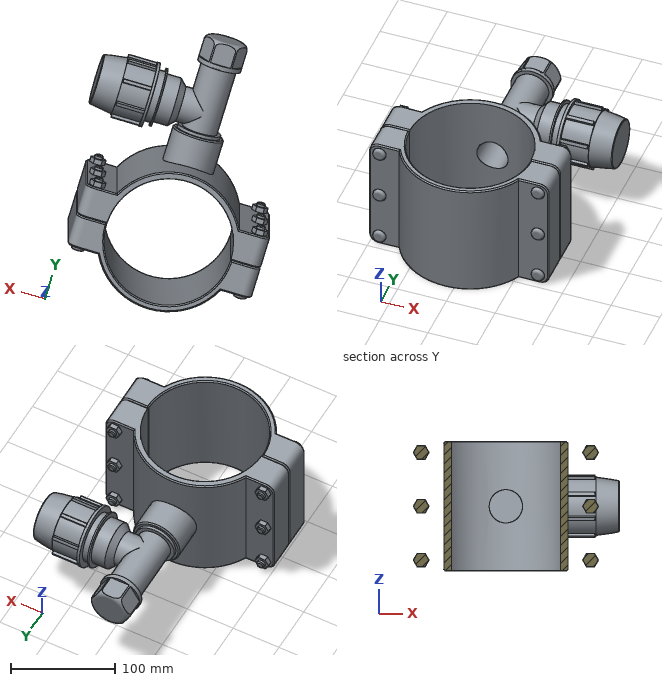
import cadquery as cq
import math

HEIGHT = 124.0
BORE_RADIUS = 62.0
BARREL_RADIUS = 68.6
FLANGE_HALF_WIDTH = 92.0
FLANGE_THICKNESS = 31.0
FLANGE_CORNER_RADIUS = 9.7
EDGE_CHAMFER = 1.3
BORE_CHAMFER = 1.3

BOLT_X = 81.2
BOLT_PITCH = 51.5
BOLT_DIAMETER = 8.0
BOLT_TIP_Y = FLANGE_THICKNESS + 8.5
BOLT_TIP_CHAMFER = 1.0
HEAD_DIAMETER = 13.0
HEAD_HEIGHT = 3.7
HEAD_FLAT_DIAMETER = 7.9
HEAD_SHOULDER_DIAMETER = 12.0
HEAD_SHOULDER_HEIGHT = 2.5
NUT_ACROSS_FLATS = 13.0
NUT_HEIGHT = 5.0

TOP_Y = 193.4
BOSS_DIAMETER = 50.5
BOSS_TOP_Y = 98.5
BOSS_CHAMFER = 1.3
COLLAR_DIAMETER = 43.0
LOWER_COLLAR_TOP_Y = 101.7
PIPE_DIAMETER = 35.0
UPPER_COLLAR_Y = 167.0
CAP_Y = 171.3
CAP_ACROSS_FLATS = 38.0
CAP_TOP_DIAMETER = 32.0
PORT_DIAMETER = 32.0

BRANCH_Y = 120.5
BRANCH_END_X = 109.0
NECK_END_X = 24.5
SOCKET_X = 31.2
SOCKET_DIAMETER = 48.0
STOP_X = 45.8
STOP_END_X = 47.5
STOP_DIAMETER = 57.6
SLEEVE_DIAMETER = 51.0
NUT_RIM_X = 54.5
NUT_RIM_END_X = 57.5
NUT_RIM_DIAMETER = 64.0
NUT_BODY_END_X = 86.2
NUT_BODY_DIAMETER = 57.6
TAPER_START_DIAMETER = 56.0
TAPER_MIDDLE_DIAMETER = 53.2
TAPER_END_DIAMETER = 49.3
TAPER_END_CHAMFER = 0.8

RIB_COUNT = 8
RIB_WIDTH = 3.5
RIB_OUTER_RADIUS = 31.7
RIB_INNER_RADIUS = 26.2
RIB_END_X = 85.5


def clamp_half(side):
    """Half shell on the +Y (side = 1) or -Y (side = -1) side of the split plane."""
    outer_face, split_face = (">Y", "<Y") if side > 0 else ("<Y", ">Y")
    flange = (
        cq.Workplane("XY")
        .box(2 * FLANGE_HALF_WIDTH, FLANGE_THICKNESS, HEIGHT)
        .translate((0, side * FLANGE_THICKNESS / 2, 0))
        .edges("|Y").fillet(FLANGE_CORNER_RADIUS)
        .faces(outer_face).edges().chamfer(EDGE_CHAMFER)
    )
    half_space = cq.Workplane("XY").box(2 * BARREL_RADIUS, 2 * BARREL_RADIUS, HEIGHT)
    half_barrel = (
        cq.Workplane("XY")
        .circle(BARREL_RADIUS).extrude(HEIGHT / 2, both=True)
        .edges("%CIRCLE").chamfer(EDGE_CHAMFER)
        .intersect(half_space.translate((0, side * BARREL_RADIUS, 0)))
    )
    return flange.union(half_barrel).clean().faces(split_face).edges().chamfer(EDGE_CHAMFER)


def clamp_bore():
    return cq.Workplane("XY").circle(BORE_RADIUS).extrude(HEIGHT / 2, both=True)


def bore_lead_in():
    """Cutter that bevels all edges of the bore in the -Y half shell only."""
    rim_radius = BORE_RADIUS + BORE_CHAMFER
    cutter = (
        cq.Workplane("XY")
        .polyline([
            (-rim_radius, 0),
            (-BORE_RADIUS, -BORE_CHAMFER),
            (BORE_RADIUS, -BORE_CHAMFER),
            (rim_radius, 0),
        ])
        .close()
        .extrude(HEIGHT / 2, both=True)
    )
    for end in (1, -1):
        cone = cq.Solid.makeCone(
            rim_radius, BORE_RADIUS, BORE_CHAMFER,
            cq.Vector(0, 0, end * HEIGHT / 2), cq.Vector(0, 0, -end),
        )
        cutter = cutter.union(cq.Workplane(cone))
    half_space = cq.Workplane("XY").box(2 * rim_radius, rim_radius, HEIGHT)
    return cutter.intersect(half_space.translate((0, -rim_radius / 2, 0)))


def rod_along_y(diameter, start_y, end_y):
    return (
        cq.Workplane("XZ", origin=(0, start_y, 0))
        .circle(diameter / 2).extrude(start_y - end_y)
    )


def hexagon_along_y(across_flats, start_y, end_y):
    """Hexagonal prism with two corners pointing along X."""
    across_corners = across_flats / math.cos(math.pi / 6)
    return (
        cq.Workplane("XZ", origin=(0, start_y, 0))
        .polygon(6, across_corners).extrude(start_y - end_y)
    )


def bolt():
    head = (
        cq.Workplane("XY", origin=(0, -FLANGE_THICKNESS, 0))
        .lineTo(HEAD_DIAMETER / 2, 0)
        .threePointArc(
            (HEAD_SHOULDER_DIAMETER / 2, -HEAD_SHOULDER_HEIGHT),
            (HEAD_FLAT_DIAMETER / 2, -HEAD_HEIGHT),
        )
        .lineTo(0, -HEAD_HEIGHT)
        .close()
        .revolve(360, (0, 0, 0), (0, 1, 0))
    )
    shank = (
        rod_along_y(BOLT_DIAMETER, -FLANGE_THICKNESS, BOLT_TIP_Y)
        .faces(">Y").edges().chamfer(BOLT_TIP_CHAMFER)
    )
    nut = hexagon_along_y(NUT_ACROSS_FLATS, FLANGE_THICKNESS, FLANGE_THICKNESS + NUT_HEIGHT)
    return head.union(shank).union(nut)


def riser():
    boss = (
        rod_along_y(BOSS_DIAMETER, 0, BOSS_TOP_Y)
        .faces(">Y").edges().chamfer(BOSS_CHAMFER)
    )
    lower_collar = rod_along_y(COLLAR_DIAMETER, BOSS_TOP_Y, LOWER_COLLAR_TOP_Y)
    pipe = rod_along_y(PIPE_DIAMETER, BOSS_TOP_Y, UPPER_COLLAR_Y)
    upper_collar = rod_along_y(COLLAR_DIAMETER, UPPER_COLLAR_Y, CAP_Y)
    cap_envelope = (
        rod_along_y(COLLAR_DIAMETER, CAP_Y, TOP_Y)
        .faces(">Y").edges().fillet((COLLAR_DIAMETER - CAP_TOP_DIAMETER) / 2)
    )
    cap = hexagon_along_y(CAP_ACROSS_FLATS, CAP_Y, TOP_Y).intersect(cap_envelope)
    return boss.union(lower_collar).union(pipe).union(upper_collar).union(cap)


def branch():
    """Turned body of the branch, revolved about its axis along X."""
    taper_middle_x = (NUT_BODY_END_X + BRANCH_END_X) / 2
    return (
        cq.Workplane("XY", origin=(0, BRANCH_Y, 0))
        .lineTo(0, PIPE_DIAMETER / 2)
        .lineTo(NECK_END_X, PIPE_DIAMETER / 2)
        .lineTo(SOCKET_X, SOCKET_DIAMETER / 2)
        .lineTo(STOP_X, SOCKET_DIAMETER / 2)
        .lineTo(STOP_X, STOP_DIAMETER / 2)
        .lineTo(STOP_END_X, STOP_DIAMETER / 2)
        .lineTo(STOP_END_X, SLEEVE_DIAMETER / 2)
        .lineTo(NUT_RIM_X, SLEEVE_DIAMETER / 2)
        .lineTo(NUT_RIM_X, NUT_RIM_DIAMETER / 2)
        .lineTo(NUT_RIM_END_X, NUT_RIM_DIAMETER / 2)
        .lineTo(NUT_RIM_END_X, NUT_BODY_DIAMETER / 2)
        .lineTo(NUT_BODY_END_X, NUT_BODY_DIAMETER / 2)
        .lineTo(NUT_BODY_END_X, TAPER_START_DIAMETER / 2)
        .threePointArc(
            (taper_middle_x, TAPER_MIDDLE_DIAMETER / 2),
            (BRANCH_END_X - TAPER_END_CHAMFER, TAPER_END_DIAMETER / 2),
        )
        .lineTo(BRANCH_END_X, TAPER_END_DIAMETER / 2 - TAPER_END_CHAMFER)
        .lineTo(BRANCH_END_X, 0)
        .close()
        .revolve(360, (0, 0, 0), (1, 0, 0))
    )


def grip_ribs():
    """Straight ribs spaced evenly round the nut, clear of the Y and Z directions."""
    step = 360 / RIB_COUNT
    rib_height = RIB_OUTER_RADIUS - RIB_INNER_RADIUS
    rib = (
        cq.Workplane("XY")
        .box(RIB_END_X - NUT_RIM_X, RIB_WIDTH, rib_height)
        .translate(((RIB_END_X + NUT_RIM_X) / 2, 0, (RIB_OUTER_RADIUS + RIB_INNER_RADIUS) / 2))
    )
    ribs = cq.Workplane("XY")
    for index in range(RIB_COUNT):
        ribs = ribs.add(rib.rotate((0, 0, 0), (1, 0, 0), (index + 0.5) * step))
    return ribs.combine().translate((0, BRANCH_Y, 0))


result = (
    clamp_half(1)
    .union(clamp_half(-1))
    .union(riser())
    .union(branch())
    .union(grip_ribs())
    .cut(clamp_bore())
    .cut(bore_lead_in())
)

result = result.cut(rod_along_y(PORT_DIAMETER, 0, BOSS_TOP_Y))

for x in (-BOLT_X, BOLT_X):
    for z in (-BOLT_PITCH, 0, BOLT_PITCH):
        result = result.union(bolt().translate((x, 0, z)))